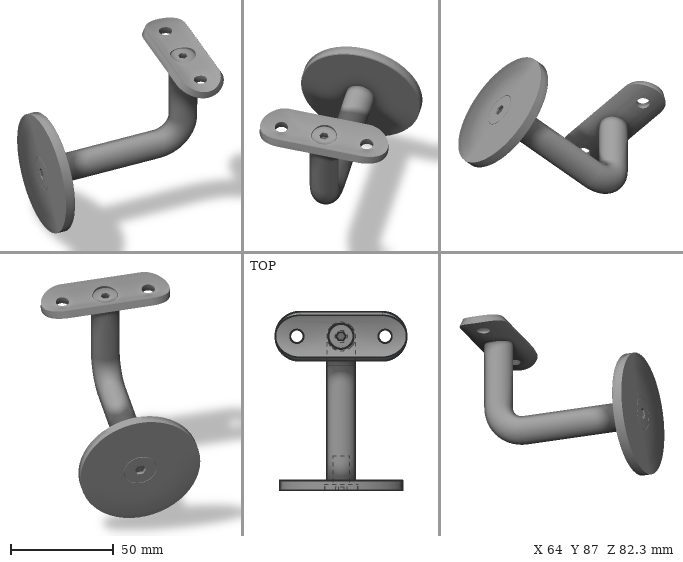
import cadquery as cq
import math

flange_diameter = 59.9
flange_thickness = 5.0
flange_edge_chamfer = 0.35

total_depth = 87.0
rod_diameter = 14.0
bend_radius = rod_diameter

saddle_length = 64.0
saddle_width = 24.0
saddle_outer_radius = 24.8
saddle_thickness = 3.65
total_height = 82.3
rail_screw_hole_diameter = 6.4
rail_screw_hole_spacing = 43.0

head_clearance = 0.22
flange_head_diameter = 16.0
flange_head_height = 3.0
flange_hex_flats = 5.0
flange_hex_depth = 1.7
flange_shank_diameter = 8.0
saddle_head_diameter = 12.0
saddle_head_height = 2.2
saddle_head_sink = 0.2
saddle_hex_flats = 4.0
saddle_hex_depth = 3.0
saddle_shank_diameter = 6.0
shank_length = 13.9

saddle_y = total_depth - saddle_width / 2
saddle_top_z = total_height - flange_diameter / 2
saddle_inner_radius = saddle_outer_radius - saddle_thickness
saddle_edge_angle = math.asin(saddle_width / 2 / saddle_outer_radius)
rail_axis_z = saddle_top_z + saddle_inner_radius * math.cos(saddle_edge_angle)
saddle_head_top_z = rail_axis_z - saddle_inner_radius - saddle_head_sink

flange_screw_plane = cq.Plane(origin=(0, 0, 0), xDir=(1, 0, 0), normal=(0, -1, 0))
saddle_screw_plane = cq.Plane(
    origin=(0, saddle_y, saddle_head_top_z), xDir=(1, 0, 0), normal=(0, 0, 1)
)


def make_screw(plane, head_diameter, head_height, shank_diameter, hex_flats, hex_depth):
    """Flat-headed screw with a hex socket, its head top on the plane."""
    hex_corners = hex_flats / math.cos(math.pi / 6)
    head = cq.Workplane(plane).circle(head_diameter / 2).extrude(-head_height)
    shank = cq.Workplane(plane).circle(shank_diameter / 2).extrude(-head_height - shank_length)
    socket = cq.Workplane(plane).polygon(6, hex_corners).extrude(-hex_depth)
    return head.union(shank).cut(socket)


def make_head_recess(plane, head_diameter, head_height):
    """Cutter for the recess around a screw head, open above the plane."""
    recess_radius = head_diameter / 2 + head_clearance
    below = cq.Workplane(plane).circle(recess_radius).extrude(-head_height)
    above = cq.Workplane(plane).circle(recess_radius).extrude(head_height)
    return below.union(above)


def rail_cylinder(radius):
    """Solid cylinder about the handrail axis, as long as the saddle."""
    return (
        cq.Workplane("YZ", origin=(-saddle_length / 2, 0, 0))
        .center(saddle_y, rail_axis_z)
        .circle(radius)
        .extrude(saddle_length)
    )


def make_flange():
    disc = (
        cq.Workplane("XZ")
        .circle(flange_diameter / 2)
        .extrude(-flange_thickness)
        .faces(">Y")
        .chamfer(flange_edge_chamfer)
    )
    return disc.cut(make_head_recess(flange_screw_plane, flange_head_diameter, flange_head_height))


def make_rod():
    """Bent rod, its upper end shaped to the underside of the saddle."""
    path = (
        cq.Workplane("YZ")
        .moveTo(flange_thickness, 0)
        .lineTo(saddle_y - bend_radius, 0)
        .tangentArcPoint((bend_radius, bend_radius))
        .lineTo(saddle_y, rail_axis_z)
    )
    rod = cq.Workplane("XZ", origin=(0, flange_thickness, 0)).circle(rod_diameter / 2).sweep(path)
    return rod.cut(rail_cylinder(saddle_outer_radius))


def make_saddle():
    """Rounded outline on the outer cylinder, thickened radially inward."""
    outline = (
        cq.Workplane("XY", origin=(0, saddle_y, rail_axis_z - 2 * saddle_outer_radius))
        .slot2D(saddle_length, saddle_width)
        .extrude(2 * saddle_outer_radius)
    )
    outer_face = rail_cylinder(saddle_outer_radius).intersect(outline).faces("<Z").val()
    saddle = cq.Workplane(outer_face.thicken(-saddle_thickness))
    rail_screw_holes = (
        cq.Workplane("XY", origin=(0, saddle_y, 0))
        .rarray(rail_screw_hole_spacing, 0.9, 2, 1)
        .circle(rail_screw_hole_diameter / 2)
        .extrude(rail_axis_z)
    )
    head_recess = make_head_recess(saddle_screw_plane, saddle_head_diameter, saddle_head_height)
    return saddle.cut(rail_screw_holes).cut(head_recess)


flange_screw = make_screw(
    flange_screw_plane,
    flange_head_diameter,
    flange_head_height,
    flange_shank_diameter,
    flange_hex_flats,
    flange_hex_depth,
)
saddle_screw = make_screw(
    saddle_screw_plane,
    saddle_head_diameter,
    saddle_head_height,
    saddle_shank_diameter,
    saddle_hex_flats,
    saddle_hex_depth,
)

flange = make_flange().cut(flange_screw)
saddle = make_saddle().cut(saddle_screw)
rod = make_rod().cut(flange_screw).cut(saddle_screw)

result = cq.Compound.makeCompound(
    [body.solids().val() for body in (flange, rod, saddle, flange_screw, saddle_screw)]
)